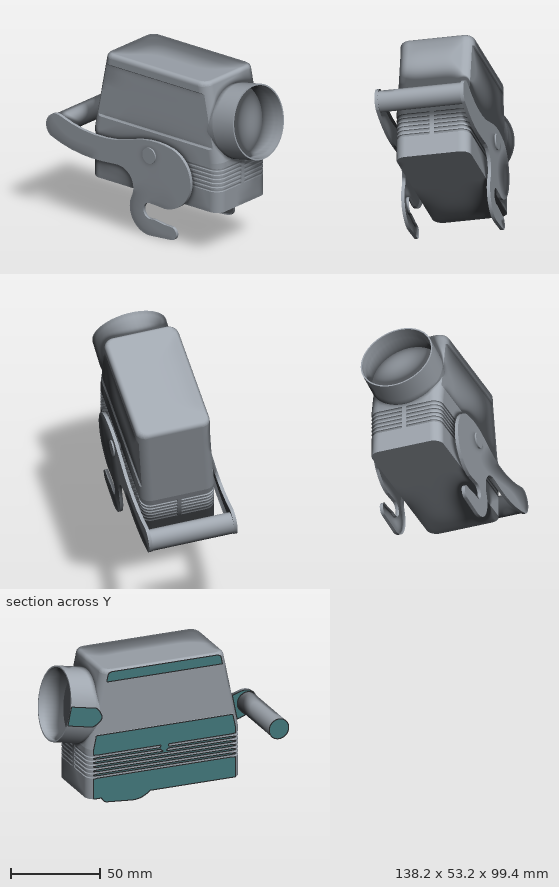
import cadquery as cq
import math


hood_length = 93.2
hood_width = 43.0
hood_height = 76.2
shoulder_height = 29.9
wall_lean = 11.4
corner_radius = 6.0
top_fillet = 2.6

recess_depth = 0.8
recess_bottom = 38.3
recess_top = 69.3
recess_ramp_bottom = 1.1
recess_ramp_top = 0.7

groove_count = 6
groove_pitch = 2.5
groove_height = 1.5
groove_depth = 0.8
groove_floor_fillet = 0.4
lowest_groove = 12.5
grip_bridge_width = 2.5

collar_radius = 21.5
collar_wall = 0.8
collar_length = 15.5
collar_mouth_x = 58.0
collar_mouth_z = 52.3
neck_length = 8.3
neck_taper = 9.5

plate_thickness = 2.0
plate_outer_y = 25.7
bar_radius = 6.1
bar_x = -69.8
bar_z = 24.9
pivot_z = 25.0
pin_radius = 2.6
pin_head_radius = 4.7
pin_head_height = 0.9

half_length = hood_length / 2
half_width = hood_width / 2


def make_hood():
    lean_offset = (hood_height - shoulder_height) * math.tan(math.radians(wall_lean))
    top_half_length = half_length - lean_offset
    profile = [
        (-half_length, 0),
        (half_length, 0),
        (half_length, shoulder_height),
        (top_half_length, hood_height),
        (-top_half_length, hood_height),
        (-half_length, shoulder_height),
    ]
    block = cq.Workplane("XZ").polyline(profile).close().extrude(half_width, both=True)
    block = block.edges("#Y").edges("not #Z").fillet(corner_radius)
    return block.faces(">Z").edges().fillet(top_fillet)


def make_side_recesses():
    """Full-length flats with ramped ends, one on each side wall."""
    floor_y = half_width - recess_depth
    profile = [
        (half_width, recess_bottom - recess_ramp_bottom),
        (floor_y, recess_bottom),
        (floor_y, recess_top),
        (half_width, recess_top + recess_ramp_top),
    ]
    recess = cq.Workplane("YZ").polyline(profile).close().extrude(half_length, both=True)
    return recess.union(recess.mirror("XZ"))


def make_grip_grooves():
    """U-shaped grooves that follow the hood outline and stop at the end wall bridges."""
    middle_z = lowest_groove + groove_height / 2
    outline = cq.Sketch().rect(hood_length, hood_width).vertices().fillet(corner_radius)
    level = cq.Workplane().workplane(offset=middle_z)
    path = level.placeSketch(outline).extrude(groove_height).faces("<Z").wires()
    section = (
        cq.Sketch()
        .rect(2 * groove_depth, groove_height)
        .vertices()
        .fillet(groove_floor_fillet)
    )
    ring = (
        cq.Workplane("YZ", origin=(0, half_width, middle_z))
        .placeSketch(section)
        .sweep(path)
    )
    bridge = cq.Workplane().box(2 * hood_length, grip_bridge_width, 2 * hood_height)
    groove = ring.cut(bridge)
    grooves = cq.Workplane()
    for index in range(groove_count):
        grooves = grooves.add(groove.translate((0, 0, index * groove_pitch)))
    return grooves.combine()


def make_collar():
    """Open tube on a conical neck that sinks into the leaning wall."""
    neck_end_radius = collar_radius - neck_length * math.tan(math.radians(neck_taper))
    profile = [
        (-collar_length - neck_length, 0),
        (-collar_length - neck_length, neck_end_radius),
        (-collar_length, collar_radius),
        (0, collar_radius),
        (0, collar_radius - collar_wall),
        (-collar_length, collar_radius - collar_wall),
        (-collar_length, 0),
    ]
    collar = cq.Workplane("XY").polyline(profile).close().revolve(360, (0, 0, 0), (1, 0, 0))
    collar = collar.rotate((0, 0, 0), (0, 1, 0), -wall_lean)
    return collar.translate((collar_mouth_x, 0, collar_mouth_z))


def make_lever_plate():
    """Side plate at -Y: handle arm, round cam and latching hook."""
    outline = (
        cq.Workplane("XZ", origin=(0, plate_thickness - plate_outer_y, 0))
        .moveTo(-65.5, 32.1)
        .threePointArc((-44.9, 27.4), (-24.2, 28.0))
        .lineTo(-10.2, 32.0)
        .threePointArc((3.0, 34.1), (16.3, 32.8))
        .threePointArc((29.7, 15.5), (22.5, 0.1))
        .threePointArc((17.0, -3.0), (10.6, -4.4))
        .lineTo(5.4, -4.0)
        .lineTo(-0.3, -3.7)
        .threePointArc((-4.7, -8.7), (-0.3, -13.3))
        .lineTo(3.3, -13.0)
        .lineTo(11.2, -14.1)
        .lineTo(16.5, -14.2)
        .threePointArc((19.4, -18.1), (15.8, -22.0))
        .lineTo(0.3, -23.2)
        .threePointArc((-12.2, -16.9), (-13.0, -2.2))
        .threePointArc((-12.9, 6.6), (-19.6, 12.9))
        .lineTo(-23.2, 13.5)
        .lineTo(-34.5, 12.7)
        .threePointArc((-53.8, 13.4), (-72.5, 18.5))
        .threePointArc((-75.9, 25.0), (-65.5, 32.1))
        .close()
    )
    return outline.extrude(plate_thickness)


def make_cross_rod(radius, x, z, outer_y):
    end_face = cq.Workplane("XZ", origin=(x, outer_y, z))
    return end_face.circle(radius).extrude(2 * outer_y)


def make_lever():
    plate_inner_y = plate_outer_y - plate_thickness
    plate = make_lever_plate()
    head = (
        cq.Workplane("XZ", origin=(0, -plate_outer_y, pivot_z))
        .circle(pin_head_radius)
        .extrude(pin_head_height)
    )
    side = plate.union(head)
    pin = make_cross_rod(pin_radius, 0, pivot_z, plate_outer_y)
    bar = make_cross_rod(bar_radius, bar_x, bar_z, plate_inner_y)
    return side.union(side.mirror("XZ")).union(pin).union(bar)


hood = make_hood().cut(make_side_recesses()).cut(make_grip_grooves())
result = hood.union(make_collar()).union(make_lever())